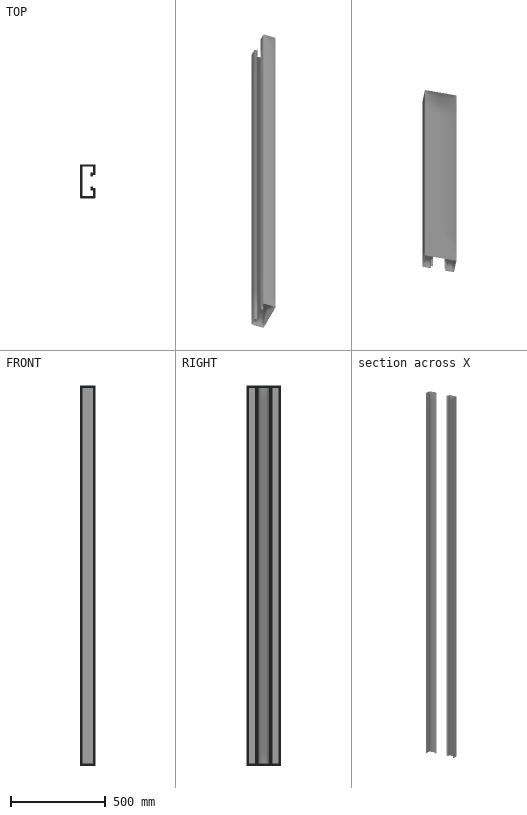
import cadquery as cq

DEPTH = 70.0
WIDTH = 170.0
LENGTH = 2000.0

THICKNESS = 2.0
INNER_BEND_RADIUS = 1.0
OUTER_BEND_RADIUS = INNER_BEND_RADIUS + THICKNESS
FLANGE_WIDTH = 45.0
RETURN_DEPTH = 15.0
LIP_LENGTH = 10.0

BACK_X = -DEPTH / 2
FRONT_X = DEPTH / 2
LIP_INNER_X = FRONT_X - RETURN_DEPTH
LIP_OUTER_X = LIP_INNER_X + THICKNESS
SIDE_Y = WIDTH / 2
RETURN_OUTER_Y = SIDE_Y - FLANGE_WIDTH
RETURN_INNER_Y = RETURN_OUTER_Y + THICKNESS
LIP_END_Y = RETURN_INNER_Y - LIP_LENGTH

OUTER_BENDS = [
    (BACK_X, SIDE_Y),
    (FRONT_X, SIDE_Y),
]
INNER_BENDS = [
    (BACK_X + THICKNESS, SIDE_Y - THICKNESS),
    (FRONT_X - THICKNESS, SIDE_Y - THICKNESS),
]

FOLDED_EDGE = [
    (FRONT_X, RETURN_OUTER_Y),
    (LIP_OUTER_X, RETURN_OUTER_Y),
    (LIP_OUTER_X, LIP_END_Y),
    (LIP_INNER_X, LIP_END_Y),
    (LIP_INNER_X, RETURN_INNER_Y),
    (FRONT_X - THICKNESS, RETURN_INNER_Y),
]


def mirrored(points):
    """Section points reflected to the -Y half."""
    return [(x, -y) for x, y in points]


def sharp_channel():
    """Extruded channel section with square bends."""
    upper_half = OUTER_BENDS + FOLDED_EDGE + INNER_BENDS[::-1]
    lower_half = mirrored(upper_half)[::-1]
    return cq.Workplane("XY").polyline(upper_half + lower_half).close().extrude(LENGTH)


def round_bends(channel, corners, radius):
    """Round the lengthwise edges through the given corners on both halves."""
    edges = []
    for x, y in corners + mirrored(corners):
        nearest = cq.selectors.NearestToPointSelector((x, y, LENGTH / 2))
        edges += channel.edges(nearest).vals()
    return channel.newObject(edges).fillet(radius)


channel = sharp_channel()
channel = round_bends(channel, INNER_BENDS, INNER_BEND_RADIUS)
result = round_bends(channel, OUTER_BENDS, OUTER_BEND_RADIUS)